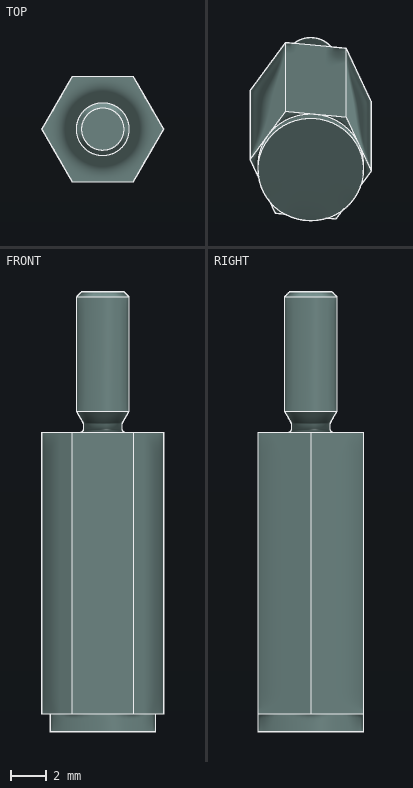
import cadquery as cq
import math

total_height = 25.0
collar_height = 1.0
hex_top = 17.0

across_flats = 6.0
across_corners = across_flats / math.cos(math.radians(30))
collar_diameter = across_flats

stud_radius = 3.0 / 2
neck_radius = 2.2 / 2
neck_fillet = 0.2
tip_chamfer = 0.3
cone_top = 18.2
cone_half_angle = math.radians(30)

cone_base_radius = neck_radius + neck_fillet * (1 - math.cos(cone_half_angle))
cone_base = cone_top - (stud_radius - cone_base_radius) / math.tan(cone_half_angle)
neck_bottom = hex_top + neck_fillet
neck_top = cone_base - neck_fillet * math.sin(cone_half_angle)


def make_collar():
    return cq.Workplane("XY").circle(collar_diameter / 2).extrude(collar_height)


def make_hex_body():
    return (
        cq.Workplane("XY")
        .workplane(offset=collar_height)
        .polygon(6, across_corners)
        .extrude(hex_top - collar_height)
    )


def make_stud():
    """Revolve the stud half-profile; local X is the radius, local Y is height."""
    root_fillet_middle = neck_fillet * (1 - math.sqrt(0.5))
    half_turn = cone_half_angle / 2
    return (
        cq.Workplane("XZ")
        .moveTo(0, hex_top)
        .lineTo(neck_radius + neck_fillet, hex_top)
        .threePointArc(
            (neck_radius + root_fillet_middle, hex_top + root_fillet_middle),
            (neck_radius, neck_bottom),
        )
        .lineTo(neck_radius, neck_top)
        .threePointArc(
            (
                neck_radius + neck_fillet * (1 - math.cos(half_turn)),
                neck_top + neck_fillet * math.sin(half_turn),
            ),
            (cone_base_radius, cone_base),
        )
        .lineTo(stud_radius, cone_top)
        .lineTo(stud_radius, total_height - tip_chamfer)
        .lineTo(stud_radius - tip_chamfer, total_height)
        .lineTo(0, total_height)
        .close()
        .revolve(360, (0, 0, 0), (0, 1, 0))
    )


result = make_collar().union(make_hex_body()).union(make_stud())